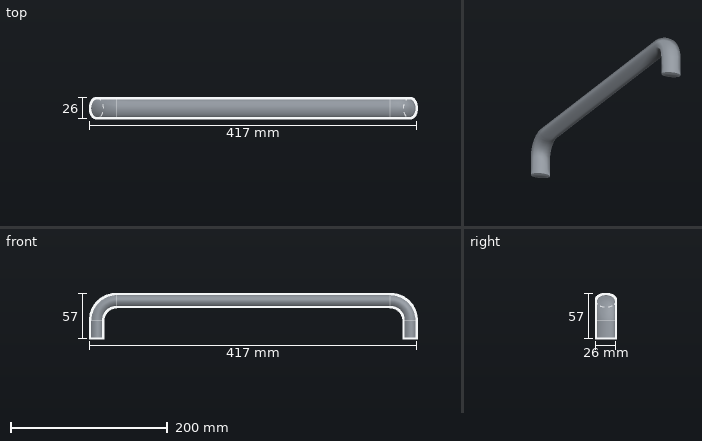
import cadquery as cq

length = 417.0
height = 57.0

section_width = 26.0
section_thickness = 17.0

bend_radius = 25.5

half_span = (length - section_thickness) / 2
top_z = height - section_thickness / 2
leg_height = top_z - bend_radius
half_grip = half_span - bend_radius

centreline = (
    cq.Workplane("XZ")
    .moveTo(-half_span, 0)
    .lineTo(-half_span, leg_height)
    .radiusArc((-half_grip, top_z), bend_radius)
    .lineTo(half_grip, top_z)
    .radiusArc((half_span, leg_height), bend_radius)
    .lineTo(half_span, 0)
)

result = (
    cq.Workplane("XY")
    .center(-half_span, 0)
    .ellipse(section_thickness / 2, section_width / 2)
    .sweep(centreline)
)